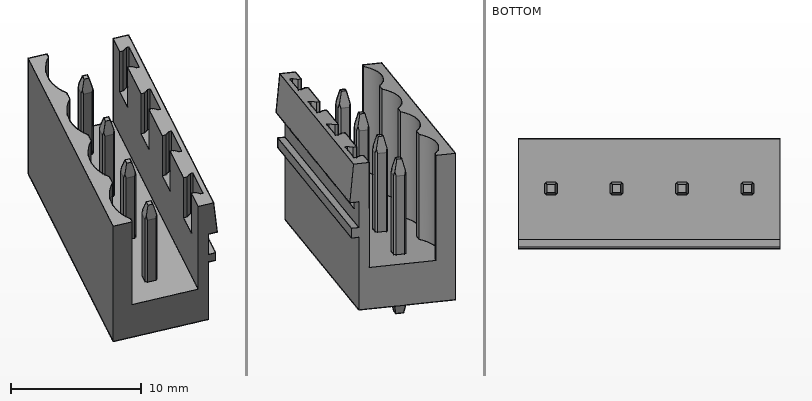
import cadquery as cq

contact_count = 4
pitch = 5.0
length = contact_count * pitch
contact_centres = [(i - (contact_count - 1) / 2) * pitch for i in range(contact_count)]

height = 12.0
floor_top = 3.4
front_wall = 1.55
back_inner = 6.85
back_outer = 7.7

latch_bottom = 8.85
latch_reach = 8.42
latch_top_reach = 8.12
rib_bottom = 5.95
rib_top = 6.75
rib_reach = 8.28

slot_width = 2.4
slot_neck_width = 1.85
slot_shoulder = 7.5
slot_neck_start = 7.15
slot_bottom = 7.85

recess_width = 4.28
recess_depth = 0.8

pin_y = 3.8
pin_width = 1.0
pin_corner = 0.15
pin_top = 11.1
pin_bottom = -1.5
top_taper_start = 9.85
bottom_taper_start = -0.55
top_tip_width = 0.4
bottom_tip_width = 0.62


def channel():
    """Channel profile with the latch ledge and the rib, extruded along X."""
    outline = [
        (0, 0),
        (back_outer, 0),
        (back_outer, rib_bottom),
        (rib_reach, rib_bottom),
        (rib_reach, rib_top),
        (back_outer, rib_top),
        (back_outer, latch_bottom),
        (latch_reach, latch_bottom),
        (latch_top_reach, height),
        (back_inner, height),
        (back_inner, floor_top),
        (front_wall, floor_top),
        (front_wall, height),
        (0, height),
    ]
    return cq.Workplane("YZ").polyline(outline).close().extrude(length / 2, both=True)


def keyed_slot(x):
    """Cutter for a slot that widens toward the back; it breaks through below the latch."""
    half_wide = slot_width / 2
    half_neck = slot_neck_width / 2
    outline = [
        (x - half_neck, back_inner),
        (x + half_neck, back_inner),
        (x + half_neck, slot_neck_start),
        (x + half_wide, slot_shoulder),
        (x + half_wide, back_outer),
        (x - half_wide, back_outer),
        (x - half_wide, slot_shoulder),
        (x - half_neck, slot_neck_start),
    ]
    base = cq.Workplane("XY", origin=(0, 0, slot_bottom))
    return base.polyline(outline).close().extrude(height - slot_bottom)


def arched_recess(x):
    """Cutter for an arched recess that runs from the channel floor to the top."""
    return (
        cq.Workplane("XY", origin=(0, 0, floor_top))
        .moveTo(x - recess_width / 2, front_wall)
        .threePointArc((x, front_wall - recess_depth), (x + recess_width / 2, front_wall))
        .close()
        .extrude(height - floor_top)
    )


def tapered_envelope(x):
    """Square bar with a tapered tip at each end."""
    def square(width, z):
        return cq.Workplane("XY", origin=(x, pin_y, z)).rect(width, width)

    shank = square(pin_width, bottom_taper_start).extrude(top_taper_start - bottom_taper_start)
    top_tip = (
        square(pin_width, top_taper_start)
        .workplane(offset=pin_top - top_taper_start)
        .rect(top_tip_width, top_tip_width)
        .loft(ruled=True)
    )
    bottom_tip = (
        square(pin_width, bottom_taper_start)
        .workplane(offset=pin_bottom - bottom_taper_start)
        .rect(bottom_tip_width, bottom_tip_width)
        .loft(ruled=True)
    )
    return shank.union(top_tip).union(bottom_tip)


def chamfered_bar(x):
    """Square bar with chamfered long edges, over the full pin length."""
    return (
        cq.Workplane("XY", origin=(x, pin_y, pin_bottom))
        .rect(pin_width, pin_width)
        .extrude(pin_top - pin_bottom)
        .edges("|Z")
        .chamfer(pin_corner)
    )


def make_pin(x):
    return tapered_envelope(x).intersect(chamfered_bar(x))


def make_housing(pins):
    body = channel()
    for x in contact_centres:
        body = body.cut(keyed_slot(x)).cut(arched_recess(x))
    for pin in pins:
        body = body.cut(pin)
    return body


pins = [make_pin(x) for x in contact_centres]
housing = make_housing(pins)

result = cq.Compound.makeCompound([housing.val(), *[pin.val() for pin in pins]])